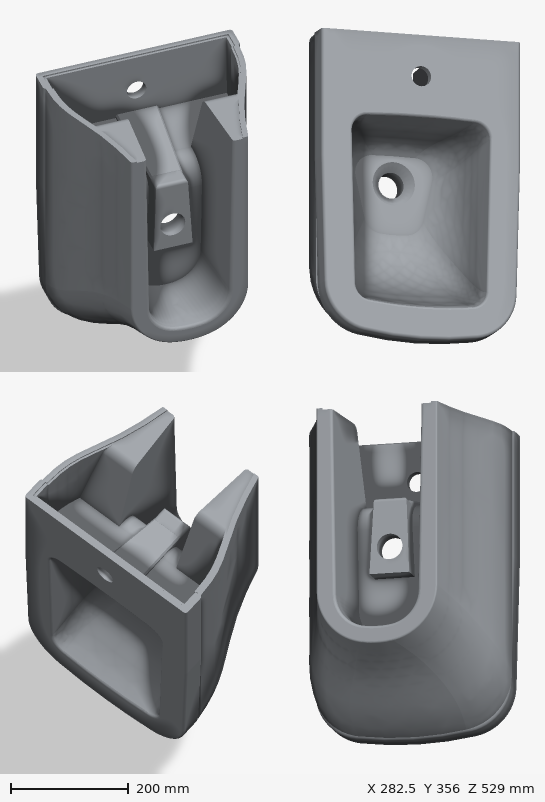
import cadquery as cq
import math

length = 529.0
depth = 282.5
width = 356.0
half_width = width / 2

rim_depth = 44.0
rim_half_low = 170.5
rim_taper_start = 307.0
rim_bulge = 24.0
rim_corner = 84.5
rim_edge_round = 5.5

body_stations = [
    (rim_depth, 174.5, 3.0, 26.5),
    (81.5, 171.5, 16.5, 34.5),
    (111.5, 164.0, 32.5, 39.5),
    (149.5, 148.5, 57.5, 42.5),
    (194.5, 130.0, 84.0, 42.5),
    (240.0, 116.0, 101.0, 42.5),
    (depth, 106.0, 112.5, 42.5),
]
body_corner = 95.0
body_edge_round = 3.0

bowl_stations = [
    (0.0, 117.5, 125.0, 55.0, 387.0, 9.5, 29.0),
    (53.0, 113.0, 119.0, 76.5, 382.0, 8.5, 29.0),
    (95.0, 100.5, 112.0, 108.5, 376.5, 7.5, 34.5),
    (127.0, 77.0, 100.5, 151.0, 368.5, 6.5, 37.0),
    (148.0, 47.5, 76.5, 211.5, 349.0, 5.5, 32.0),
]
bowl_lip_round = 4.0
bowl_floor_x = bowl_stations[-1][0]

tap_hole_diameter = 35.0
tap_hole_z = 457.0
drain_diameter = 45.0
drain_seat_diameter = 78.0
drain_z = 301.0
drain_cone_depth = 16.0
drain_seat_sink = 1.0
tap_hole_depth = 32.0

wall = 14.0
rim_wall = 15.5
plate_back_x = 17.5
plate_top_x = 14.5
cavity_floor_front = 407.5
cavity_floor_back = 390.5
lip_wall = 10.0
lip_depth = 2.5

block_foot_x = 113.5
block_head_x = 158.5
block_blend = 12.5
block_top = length - lip_depth
block_slope = math.atan2(block_top - cavity_floor_back, block_head_x - block_foot_x)

trough_half_front = 65.0
trough_half_back = 78.5
trough_draft = 6.5
trough_bottom = 143.0
trough_bulge = 16.0
trough_corner = 58.0
trough_mouth_round = 5.5

bowl_back_x = 161.5
bowl_back_round = bowl_back_x - block_foot_x

channel_start_x = 15.0
channel_end_x = bowl_back_x + 5.5
channel_rise = 8.0
channel_half_front = 38.5
channel_half_back = 28.5
boss_half_width = 35.0
boss_back_x = 199.5
boss_bottom = 254.0
boss_top = 387.0
boss_taper = 2.7
channel_edge_chamfer = 3.0
boss_edge_round = 6.5

select_margin = 1.0


def outline(x, half_low, half_high, z_low, z_high, bulge, corner, top_corner=0.0, top_bulge=0.0):
    """Closed outline in the plane at x, with a bulged lower end and rounded corners."""
    low_left = cq.Vector(x, -half_low, z_low + bulge)
    low_right = cq.Vector(x, half_low, z_low + bulge)
    high_right = cq.Vector(x, half_high, z_high - top_bulge)
    high_left = cq.Vector(x, -half_high, z_high - top_bulge)
    if top_bulge:
        top = cq.Edge.makeThreePointArc(high_right, cq.Vector(x, 0, z_high), high_left)
    else:
        top = cq.Edge.makeLine(high_right, high_left)
    edges = [
        cq.Edge.makeThreePointArc(low_left, cq.Vector(x, 0, z_low), low_right),
        cq.Edge.makeLine(low_right, high_right),
        top,
        cq.Edge.makeLine(high_left, low_left),
    ]
    face = cq.Face.makeFromWires(cq.Wire.assembleEdges(edges))
    middle = (z_low + z_high) / 2
    top_points = [v for v in face.Vertices() if v.Z > middle]
    low_points = [v for v in face.Vertices() if v.Z < middle]
    face = face.fillet2D(corner, low_points)
    if top_corner:
        face = face.fillet2D(top_corner, top_points)
    return face.outerWire()


def loft(wires, ruled=False):
    """Solid through the wires, smooth unless ruled."""
    return cq.Workplane(obj=cq.Solid.makeLoft(wires, ruled))


def make_rim():
    """Slab with straight upper sides, tapered lower sides and a bulged lower end."""
    slab = (
        cq.Workplane("YZ")
        .moveTo(-half_width, length)
        .lineTo(-half_width, rim_taper_start)
        .lineTo(-rim_half_low, rim_bulge)
        .threePointArc((0, 0), (rim_half_low, rim_bulge))
        .lineTo(half_width, rim_taper_start)
        .lineTo(half_width, length)
        .close()
        .extrude(rim_depth)
    )
    low_corners = cq.selectors.BoxSelector(
        (0, -half_width, 0), (rim_depth, half_width, rim_taper_start / 2)
    )
    slab = slab.edges("|X").edges(low_corners).fillet(rim_corner)
    return slab.faces("<X or >X").edges("not(>Z)").fillet(rim_edge_round)


def make_body(inset=0.0):
    """Body tapering to the back; an inset shrinks its sides and lower end."""
    wires = [
        outline(x, half - inset, half - inset, low + inset, length, bulge, body_corner - inset)
        for x, half, low, bulge in body_stations
    ]
    body = loft(wires)
    if inset:
        return body
    return body.faces(">X").edges("not(>Z)").fillet(body_edge_round)


def make_bowl():
    """Basin that narrows from the rim opening to the floor around the drain."""
    wires = [
        outline(x, low, high, bottom, top, bulge, corner, corner, bulge / 2)
        for x, low, high, bottom, top, bulge, corner in bowl_stations
    ]
    return loft(wires)


def make_holes():
    """Tap hole, drain hole and the conical drain seat, all along X."""
    tap = cq.Workplane("YZ").center(0, tap_hole_z).circle(tap_hole_diameter / 2).extrude(tap_hole_depth)
    drain = cq.Workplane("YZ").center(0, drain_z).circle(drain_diameter / 2).extrude(depth)
    seat = cq.Solid.makeCone(
        drain_seat_diameter / 2, drain_diameter / 2, drain_cone_depth,
        cq.Vector(bowl_floor_x - drain_seat_sink, 0, drain_z), cq.Vector(1, 0, 0),
    )
    return tap.union(drain).union(cq.Workplane(obj=seat))


def make_cavity():
    """Space behind the tap, closed by the plate, the side walls and the sloping mounting blocks."""
    inner = make_body(wall)
    front = cq.Workplane("XY").box(
        rim_depth, 2 * (half_width - rim_wall), length, centered=(False, True, False)
    )
    shoulder_x = block_head_x - block_blend * math.cos(block_slope)
    shoulder_z = block_top - block_blend * math.sin(block_slope)
    profile = (
        cq.Workplane("XZ")
        .moveTo(plate_back_x, cavity_floor_front)
        .lineTo(block_foot_x, cavity_floor_back)
        .lineTo(shoulder_x, shoulder_z)
        .tangentArcPoint((block_head_x + block_blend, block_top), relative=False)
        .lineTo(plate_top_x, block_top)
        .close()
        .extrude(half_width, both=True)
    )
    return profile.intersect(inner.union(front))


def make_lip():
    """Shallow recess that leaves a thin raised lip along the top of the walls."""
    band = cq.Workplane("XY").workplane(offset=block_top).box(
        depth, width, lip_depth, centered=(False, True, False)
    )
    front = cq.Workplane("XY").box(
        rim_depth - lip_wall, 2 * (half_width - lip_wall), length, centered=(False, True, False)
    )
    front = front.translate((lip_wall, 0, 0))
    return band.intersect(make_body(lip_wall).union(front))


def make_trough():
    """Rounded trough between the mounting blocks, running out through the back."""
    wires = [
        outline(x, half - trough_draft, half, trough_bottom, length, trough_bulge, trough_corner)
        for x, half in ((block_foot_x, trough_half_front), (depth, trough_half_back))
    ]
    behind_bowl = (
        cq.Workplane("XY")
        .box(depth, width, length, centered=(False, True, False))
        .translate((block_foot_x, 0, 0))
    )
    bowl_back = (
        cq.Workplane("XZ")
        .rect(2 * bowl_back_x, 2 * cavity_floor_back)
        .extrude(half_width, both=True)
        .edges("|Y and >X and >Z")
        .fillet(bowl_back_round)
    )
    return loft(wires, ruled=True).intersect(behind_bowl.cut(bowl_back))


def make_overflow():
    """Channel on the back of the bowl leading down into the drain boss."""
    channel = (
        cq.Workplane("XY")
        .workplane(offset=drain_z)
        .polyline([
            (channel_start_x, -channel_half_front),
            (channel_end_x, -channel_half_back),
            (channel_end_x, channel_half_back),
            (channel_start_x, channel_half_front),
        ])
        .close()
        .extrude(length)
    )
    profile = (
        cq.Workplane("XZ")
        .polyline([
            (channel_start_x, drain_z),
            (channel_end_x, drain_z),
            (channel_end_x, boss_top),
            (channel_start_x, cavity_floor_front + channel_rise),
        ])
        .close()
        .extrude(half_width, both=True)
    )
    boss = (
        cq.Workplane("XY")
        .workplane(offset=boss_bottom)
        .center((bowl_floor_x + boss_back_x) / 2, 0)
        .rect(boss_back_x - bowl_floor_x, 2 * boss_half_width)
        .extrude(boss_top - boss_bottom, taper=boss_taper)
    )
    channel = channel.intersect(profile).faces(">Z").edges().chamfer(channel_edge_chamfer)
    boss = boss.faces(">Z").edges().fillet(boss_edge_round)
    return channel.union(boss)


def edges_at(x, half_span, z_low, z_high):
    """Selector for the edges that lie in the plane at x within the given width and height."""
    return cq.selectors.BoxSelector(
        (x - select_margin, -half_span - select_margin, z_low - select_margin),
        (x + select_margin, half_span + select_margin, z_high + select_margin),
    )


shell = make_rim().union(make_body())
shell = shell.cut(make_cavity()).cut(make_lip()).cut(make_trough())
trough_mouth = edges_at(depth, trough_half_back, trough_bottom, length)
shell = shell.edges(trough_mouth).fillet(trough_mouth_round)

bowl_half_opening, bowl_low, bowl_high = bowl_stations[0][2:5]
bowl_opening = edges_at(0, bowl_half_opening, bowl_low, bowl_high)
bidet = shell.union(make_overflow()).cut(make_bowl())
bidet = bidet.edges(bowl_opening).fillet(bowl_lip_round)

result = bidet.cut(make_holes())